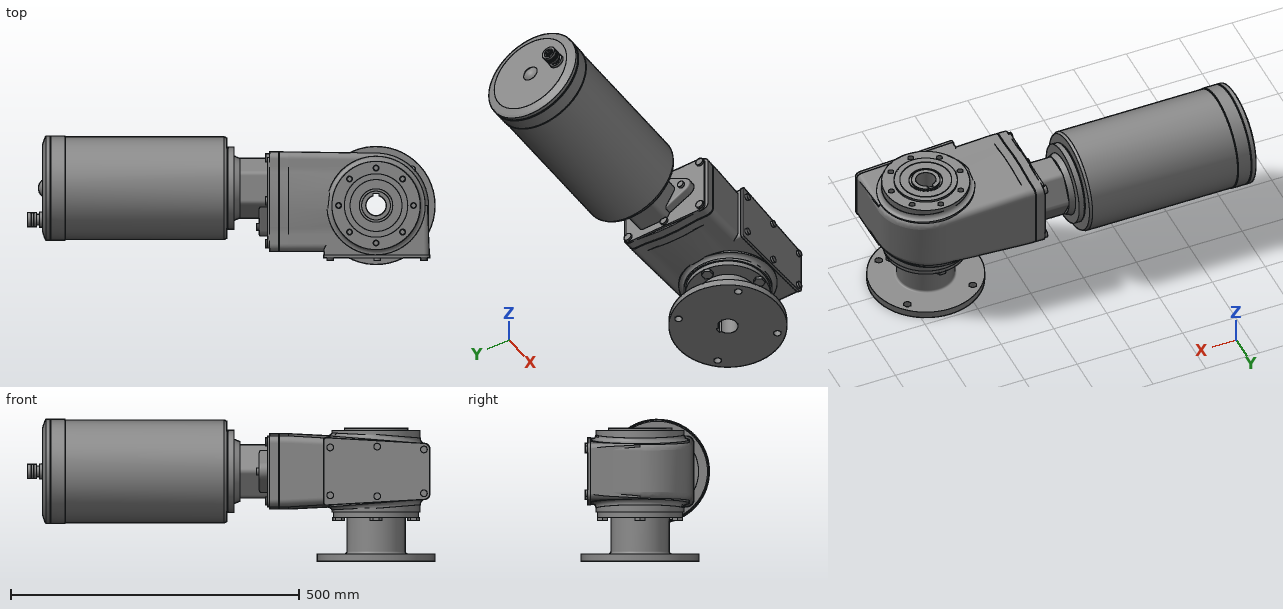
import math

import cadquery as cq

MOTOR_Y = 30.0

MOTOR_END_X = -578.5
CAP_RIM_X = -572.5
CAP_GROOVE_X = -565.0
CAP_GROOVE_WIDTH = 1.5
CAP_GROOVE_DEPTH = 1.5
CAP_BACK_X = -539.5
CAN_FRONT_X = -258.5
CAN_CHAMFER = 5.0
CAP_RADIUS = 90.5
CAN_RADIUS = 89.5
CAN_FRONT_RADIUS = 87.0
END_FACE_RADIUS = 75.0
CAP_SHOULDER_RADIUS = 86.5
CAP_LIP = 2.0
PILOT_RADIUS = 71.5
PILOT_STEP_RADIUS = 69.5
PILOT_STEP_LENGTH = 2.0
PILOT_FRONT_X = -246.0
COLLAR_FRONT_X = -235.5
COLLAR_BACK_RADIUS = 56.0
COLLAR_FRONT_RADIUS = 51.5
DOME_RADIUS = 14.0
DOME_HEIGHT = 7.0

CONNECTOR_Y = -24.5
CONNECTOR_TIP_X = -604.5
CONNECTOR_BODY_LENGTH = 16.0
CONNECTOR_DIAMETER = 25.5
CONNECTOR_RING_X = (-598.5, -594.0)
CONNECTOR_RING_WIDTH = 1.5
CONNECTOR_RING_DIAMETER = 23.0
CONNECTOR_BASE_DIAMETER = 26.5
CONNECTOR_BASE_LENGTH = 5.0
CONNECTOR_NECK_DIAMETER = 19.0
SOCKET_DIAMETER = 17.0
SOCKET_DEPTH = 8.0
PIN_COUNT = 5
PIN_DIAMETER = 3.0
PIN_CIRCLE_RADIUS = 5.0

NECK_APOTHEM = 46.5
NECK_EDGE_RADIUS = 9.0
LUG_BACK_X = -202.5
LUG_BOLT_Y = -37.0
LUG_NOSE_RADIUS = 16.0
LUG_ROOT_HALF_HEIGHT = 41.0
LUG_ROOT_Y = 6.0
LUG_EDGE_RADIUS = 3.0
LUG_BOLT_DIAMETER = 12.0
LUG_BOLT_HEAD = 4.5

HOUSING_BACK_X = -184.5
HOUSING_FAR_Y = 93.5
HOUSING_NEAR_Y = -80.0
HOUSING_HALF_HEIGHT = 61.5
TAPER_START_X = -152.0
TAPER_SLOPE = 0.057
HOUSING_NOSE_RADIUS = 91.0
HOUSING_EDGE_RADIUS = 12.5
CROWN_RISE = 4.5
CROWN_HALF_WIDTH = 46.5
CROWN_BLEND_WIDTH = 11.0
CROWN_Y = 8.5
CROWN_ROOT = 6.0
JOINT_X = -169.0
JOINT_WIDTH = 1.5
JOINT_DEPTH = 0.8

END_PLATE_THICKNESS = 3.5
END_PLATE_MARGIN = 6.0
END_BOLT_DIAMETER = 14.6
END_BOLT_HEAD = 7.0
END_BOLT_Y = (82.8, 8.4, -66.0)
END_BOLT_Z = 51.3

COVER_LEFT_X = -91.0
COVER_RIGHT_X = 93.5
COVER_SEAT_Y = -86.0
SEAT_ROOT_X = 89.0
COVER_THICKNESS = 5.0
COVER_OVERHANG = 0.8
COVER_LEFT_CORNER_RADIUS = 4.0
COVER_RIGHT_CORNER_RADIUS = 10.0
COVER_BOLT_DIAMETER = 11.6
COVER_BOLT_HEAD = 4.0
COVER_BOLT_X = (-79.5, 2.0, 83.0)
COVER_BOLT_Z = (41.5, 43.0, 38.0)

HUB_RADIUS = 76.5
HUB_TOP_Z = 71.3
HUB_BOTTOM_Z = -70.5
HUB_FLARE = 9.0
HUB_FLARE_Z = 55.0
HUB_FLARE_SLOPE = 0.08
HUB_FLARE_ROOT = 8.0
BOSS_DIAMETER = 110.0
BOSS_TOP_Z = 75.0
BOSS_RECESS_DIAMETER = 90.0
BOSS_RECESS_DEPTH = 1.0
SEAL_BORE_DIAMETER = 58.0
SHAFT_DIAMETER = 50.0
SEAL_GROOVE_DEPTH = 3.0
SHAFT_BORE_DIAMETER = 35.0
KEYWAY_WIDTH = 10.0
KEYWAY_REACH = 20.8
HUB_HOLE_COUNT = 8
HUB_HOLE_CIRCLE_RADIUS = 65.0
HUB_THREAD_DIAMETER = 10.0
HUB_THREAD_DEPTH = 18.0
HUB_DRILL_DIAMETER = 8.38
HUB_DRILL_DEPTH = 22.0

FLANGE_RADIUS = 102.5
FLANGE_THICKNESS = 13.0
FLANGE_BOTTOM_Z = -156.0
FLANGE_HOLE_COUNT = 4
FLANGE_HOLE_CIRCLE_RADIUS = 87.5
FLANGE_HOLE_DIAMETER = 13.0
TUBE_RADIUS = 50.75
TUBE_ROOT_RADIUS = 4.0
SPIGOT_RADIUS = 74.0
SPIGOT_BOTTOM_Z = -80.0
SPIGOT_BOLT_COUNT = 4
SPIGOT_BOLT_WIDTH = 18.0
SPIGOT_BOLT_HEAD = 5.5
HEX_CORNER_RATIO = 2 / math.sqrt(3)


def housing_half_height(x):
    """Half height of the tapered housing at station x."""
    return HOUSING_HALF_HEIGHT - TAPER_SLOPE * max(0.0, x - TAPER_START_X)


def rod_x(start_x, end_x, diameter, y, z):
    """Round rod along X."""
    section = cq.Workplane("YZ", origin=(start_x, y, z)).circle(diameter / 2)
    return section.extrude(end_x - start_x)


def make_motor():
    """Motor can, end cap, pilot and collar turned about the motor axis."""
    groove_end_x = CAP_GROOVE_X + CAP_GROOVE_WIDTH
    groove_radius = CAP_RADIUS - CAP_GROOVE_DEPTH
    profile = [
        (MOTOR_END_X, 0),
        (MOTOR_END_X, END_FACE_RADIUS),
        (CAP_RIM_X - CAP_LIP, CAP_SHOULDER_RADIUS),
        (CAP_RIM_X, CAP_RADIUS),
        (CAP_GROOVE_X, CAP_RADIUS),
        (CAP_GROOVE_X, groove_radius),
        (groove_end_x, groove_radius),
        (groove_end_x, CAP_RADIUS),
        (CAP_BACK_X, CAP_RADIUS),
        (CAP_BACK_X, groove_radius),
        (CAP_BACK_X + CAP_GROOVE_WIDTH, groove_radius),
        (CAP_BACK_X + CAP_GROOVE_WIDTH, CAN_RADIUS),
        (CAN_FRONT_X - CAN_CHAMFER, CAN_RADIUS),
        (CAN_FRONT_X, CAN_FRONT_RADIUS),
        (CAN_FRONT_X, PILOT_STEP_RADIUS),
        (CAN_FRONT_X + PILOT_STEP_LENGTH, PILOT_STEP_RADIUS),
        (CAN_FRONT_X + PILOT_STEP_LENGTH, PILOT_RADIUS),
        (PILOT_FRONT_X, PILOT_RADIUS),
        (PILOT_FRONT_X, COLLAR_BACK_RADIUS),
        (COLLAR_FRONT_X, COLLAR_FRONT_RADIUS),
        (COLLAR_FRONT_X, 0),
    ]
    body = cq.Workplane("XY").polyline(profile).close().revolve(360, (0, 0, 0), (1, 0, 0))
    sphere_radius = (DOME_RADIUS**2 + DOME_HEIGHT**2) / (2 * DOME_HEIGHT)
    sphere_x = MOTOR_END_X - DOME_HEIGHT + sphere_radius
    dome = cq.Workplane("XY").sphere(sphere_radius).translate((sphere_x, 0, 0))
    return body.union(dome).translate((0, MOTOR_Y, 0))


def make_connector():
    """Round plug with ring grooves and a pinned socket, on a neck and a base collar."""
    body_end_x = CONNECTOR_TIP_X + CONNECTOR_BODY_LENGTH
    tip_plane = cq.Workplane("YZ", origin=(CONNECTOR_TIP_X, CONNECTOR_Y, 0))
    plug = rod_x(CONNECTOR_TIP_X, body_end_x, CONNECTOR_DIAMETER, CONNECTOR_Y, 0)
    for ring_x in CONNECTOR_RING_X:
        ring_end_x = ring_x + CONNECTOR_RING_WIDTH
        ring = rod_x(ring_x, ring_end_x, CONNECTOR_DIAMETER, CONNECTOR_Y, 0)
        plug = plug.cut(ring.cut(rod_x(ring_x, ring_end_x, CONNECTOR_RING_DIAMETER, CONNECTOR_Y, 0)))
    socket_end_x = CONNECTOR_TIP_X + SOCKET_DEPTH
    plug = plug.cut(rod_x(CONNECTOR_TIP_X, socket_end_x, SOCKET_DIAMETER, CONNECTOR_Y, 0))
    pins = tip_plane.polarArray(PIN_CIRCLE_RADIUS, 90, 360, PIN_COUNT).circle(PIN_DIAMETER / 2)
    plug = plug.union(pins.extrude(CONNECTOR_BODY_LENGTH))
    neck = rod_x(body_end_x, CAP_RIM_X, CONNECTOR_NECK_DIAMETER, CONNECTOR_Y, 0)
    base_x = MOTOR_END_X - CONNECTOR_BASE_LENGTH
    base = rod_x(base_x, CAP_RIM_X, CONNECTOR_BASE_DIAMETER, CONNECTOR_Y, 0)
    return plug.union(neck).union(base)


def make_neck():
    """Hexagonal neck with rounded edges between motor and housing."""
    length = HOUSING_BACK_X - COLLAR_FRONT_X
    section = cq.Workplane("YZ", origin=(COLLAR_FRONT_X, MOTOR_Y, 0))
    neck = section.polygon(6, 2 * NECK_APOTHEM * HEX_CORNER_RATIO).extrude(length)
    return neck.edges("|X").fillet(NECK_EDGE_RADIUS)


def make_lug():
    """Pointed lug beside the neck with a bolt in its round nose."""
    length = HOUSING_BACK_X - LUG_BACK_X
    root = cq.Vector(LUG_ROOT_Y - LUG_BOLT_Y, LUG_ROOT_HALF_HEIGHT)
    tangent_angle = math.atan2(root.y, root.x) + math.acos(LUG_NOSE_RADIUS / root.Length)
    tangent_y = LUG_BOLT_Y + LUG_NOSE_RADIUS * math.cos(tangent_angle)
    tangent_z = LUG_NOSE_RADIUS * math.sin(tangent_angle)
    lug = (
        cq.Workplane("YZ", origin=(LUG_BACK_X, 0, 0))
        .moveTo(MOTOR_Y, LUG_ROOT_HALF_HEIGHT)
        .lineTo(LUG_ROOT_Y, LUG_ROOT_HALF_HEIGHT)
        .lineTo(tangent_y, tangent_z)
        .threePointArc((LUG_BOLT_Y - LUG_NOSE_RADIUS, 0), (tangent_y, -tangent_z))
        .lineTo(LUG_ROOT_Y, -LUG_ROOT_HALF_HEIGHT)
        .lineTo(MOTOR_Y, -LUG_ROOT_HALF_HEIGHT)
        .close()
        .extrude(length)
    )
    lug = lug.faces("<X").edges("not |Z").fillet(LUG_EDGE_RADIUS)
    bolt = rod_x(LUG_BACK_X - LUG_BOLT_HEAD, HOUSING_BACK_X, LUG_BOLT_DIAMETER, LUG_BOLT_Y, 0)
    return lug.union(bolt)


def tapered_slab(left_x, right_x, near_y, far_y, overhang=0.0):
    """Slab across Y whose top and bottom follow the housing taper, raised by the overhang."""
    upper = [(left_x, housing_half_height(left_x))]
    if left_x < TAPER_START_X:
        upper.append((TAPER_START_X, HOUSING_HALF_HEIGHT))
    upper.append((right_x, housing_half_height(right_x)))
    upper = [(x, z + overhang) for x, z in upper]
    lower = [(x, -z) for x, z in reversed(upper)]
    section = cq.Workplane("XZ", origin=(0, far_y, 0)).polyline(upper + lower).close()
    return section.extrude(far_y - near_y)


def make_casing():
    """Main casing: tapered block with a round nose and rounded long edges."""
    nose = HOUSING_NOSE_RADIUS
    diagonal = nose * math.sqrt(0.5)
    plan = (
        cq.Workplane("XY", origin=(0, 0, -HOUSING_HALF_HEIGHT))
        .moveTo(HOUSING_BACK_X, HOUSING_NEAR_Y)
        .lineTo(HOUSING_BACK_X, HOUSING_FAR_Y)
        .lineTo(0, nose)
        .threePointArc((diagonal, diagonal), (nose, 0))
        .lineTo(nose, HOUSING_NEAR_Y)
        .close()
        .extrude(2 * HOUSING_HALF_HEIGHT)
    )
    slab = tapered_slab(HOUSING_BACK_X, COVER_RIGHT_X, HOUSING_NEAR_Y, HOUSING_FAR_Y)
    casing = slab.intersect(plan)
    side_edges = casing.faces(">Y or <Y").edges("not |Z")
    return casing.newObject(side_edges.vals()).fillet(HOUSING_EDGE_RADIUS)


def make_crown():
    """Low arched pad along the top of the casing, blended into it at both sides."""
    half_span = CROWN_HALF_WIDTH + CROWN_BLEND_WIDTH
    angle = 2 * math.atan(CROWN_RISE / half_span)
    blend_radius = CROWN_BLEND_WIDTH / math.sin(angle)
    blend_rise = blend_radius * (1 - math.cos(angle))
    middle_y = half_span - blend_radius * math.sin(angle / 2)
    middle_z = blend_radius * (1 - math.cos(angle / 2))

    def pad(start_x, length):
        return (
            cq.Workplane("YZ", origin=(start_x, CROWN_Y, HOUSING_HALF_HEIGHT))
            .moveTo(-half_span, -CROWN_ROOT)
            .lineTo(-half_span, 0)
            .threePointArc((-middle_y, middle_z), (-CROWN_HALF_WIDTH, blend_rise))
            .threePointArc((0, CROWN_RISE), (CROWN_HALF_WIDTH, blend_rise))
            .threePointArc((middle_y, middle_z), (half_span, 0))
            .lineTo(half_span, -CROWN_ROOT)
            .close()
            .extrude(length)
        )

    level = pad(HOUSING_BACK_X, TAPER_START_X - HOUSING_BACK_X)
    pivot = (TAPER_START_X, 0, HOUSING_HALF_HEIGHT)
    pivot_end = (TAPER_START_X, 1, HOUSING_HALF_HEIGHT)
    tilt = math.degrees(math.atan(TAPER_SLOPE))
    sloped = pad(TAPER_START_X, -TAPER_START_X).rotate(pivot, pivot_end, tilt)
    return level.union(sloped)


def make_end_plate():
    """Plate and bolt heads on the motor side of the casing."""
    plate_x = HOUSING_BACK_X - END_PLATE_THICKNESS
    width = HOUSING_FAR_Y - HOUSING_NEAR_Y - 2 * END_PLATE_MARGIN
    middle_y = (HOUSING_FAR_Y + HOUSING_NEAR_Y) / 2
    plate = cq.Workplane("YZ", origin=(plate_x, middle_y, 0)).rect(width, 2 * HOUSING_HALF_HEIGHT)
    plate = plate.extrude(END_PLATE_THICKNESS).edges("|X").fillet(HOUSING_EDGE_RADIUS)
    for y in END_BOLT_Y:
        for z in (END_BOLT_Z, -END_BOLT_Z):
            bolt_x = HOUSING_BACK_X - END_BOLT_HEAD
            plate = plate.union(rod_x(bolt_x, HOUSING_BACK_X, END_BOLT_DIAMETER, y, z))
    return plate


def cut_joint(casing):
    """Shallow joint line around the casing."""
    corner_radius = HOUSING_EDGE_RADIUS - JOINT_DEPTH
    width = HOUSING_FAR_Y - HOUSING_NEAR_Y
    middle_y = (HOUSING_FAR_Y + HOUSING_NEAR_Y) / 2
    outer = cq.Workplane("YZ", origin=(JOINT_X, middle_y, 0))
    ring = outer.rect(2 * width, 4 * HOUSING_HALF_HEIGHT).extrude(JOINT_WIDTH)
    core = outer.rect(width - 2 * JOINT_DEPTH, 2 * (HOUSING_HALF_HEIGHT - JOINT_DEPTH))
    core = core.extrude(JOINT_WIDTH).edges("|X").fillet(corner_radius)
    sunk_crown = make_crown().translate((0, 0, -JOINT_DEPTH))
    ring = ring.cut(core).cut(sunk_crown).cut(sunk_crown.mirror("XY"))
    return casing.cut(ring)


def round_cover_corners(slab):
    """Round the four upright corners of a cover-shaped slab."""
    slab = slab.edges("|Y").edges("<X").fillet(COVER_LEFT_CORNER_RADIUS)
    return slab.edges("|Y").edges(">X").fillet(COVER_RIGHT_CORNER_RADIUS)


def make_side_cover():
    """Seat block, cover plate and bolt heads on the -Y side of the housing."""
    seat_left_x = COVER_LEFT_X + COVER_OVERHANG
    seat_right_x = COVER_RIGHT_X - COVER_OVERHANG
    seat = round_cover_corners(tapered_slab(seat_left_x, seat_right_x, COVER_SEAT_Y, 0))
    plan = [
        (seat_left_x, COVER_SEAT_Y),
        (seat_right_x, COVER_SEAT_Y),
        (SEAT_ROOT_X, 0),
        (seat_left_x, 0),
    ]
    wall = cq.Workplane("XY", origin=(0, 0, -HOUSING_HALF_HEIGHT)).polyline(plan).close()
    seat = seat.intersect(wall.extrude(2 * HOUSING_HALF_HEIGHT))
    cover_y = COVER_SEAT_Y - COVER_THICKNESS
    cover = tapered_slab(COVER_LEFT_X, COVER_RIGHT_X, cover_y, COVER_SEAT_Y, COVER_OVERHANG)
    seat = seat.union(round_cover_corners(cover))
    for x, z in zip(COVER_BOLT_X, COVER_BOLT_Z):
        heads = cq.Workplane("XZ", origin=(x, cover_y, 0)).pushPoints([(0, z), (0, -z)])
        seat = seat.union(heads.circle(COVER_BOLT_DIAMETER / 2).extrude(COVER_BOLT_HEAD))
    return seat


def make_hub():
    """Output hub turned about Z, with the flange below it."""
    tube_top_z = FLANGE_BOTTOM_Z + FLANGE_THICKNESS
    root_bulge = TUBE_ROOT_RADIUS * (1 - math.sqrt(0.5))
    return (
        cq.Workplane("XZ")
        .moveTo(0, BOSS_TOP_Z)
        .lineTo(BOSS_DIAMETER / 2, BOSS_TOP_Z)
        .lineTo(BOSS_DIAMETER / 2, HUB_TOP_Z)
        .lineTo(HUB_RADIUS, HUB_TOP_Z)
        .lineTo(HUB_RADIUS, HUB_BOTTOM_Z)
        .lineTo(SPIGOT_RADIUS, HUB_BOTTOM_Z)
        .lineTo(SPIGOT_RADIUS, SPIGOT_BOTTOM_Z)
        .lineTo(TUBE_RADIUS, SPIGOT_BOTTOM_Z)
        .lineTo(TUBE_RADIUS, tube_top_z + TUBE_ROOT_RADIUS)
        .threePointArc((TUBE_RADIUS + root_bulge, tube_top_z + root_bulge),
                       (TUBE_RADIUS + TUBE_ROOT_RADIUS, tube_top_z))
        .lineTo(FLANGE_RADIUS, tube_top_z)
        .lineTo(FLANGE_RADIUS, FLANGE_BOTTOM_Z)
        .lineTo(0, FLANGE_BOTTOM_Z)
        .close()
        .revolve(360, (0, 0, 0), (0, 1, 0))
    )


def make_hub_flare():
    """Concave skirt where the hub leaves the sloping top of the casing."""
    bulge = HUB_FLARE * (1 - math.sqrt(0.5))
    skirt = (
        cq.Workplane("XZ")
        .moveTo(0, -HUB_FLARE_ROOT)
        .lineTo(0, HUB_FLARE)
        .lineTo(HUB_RADIUS, HUB_FLARE)
        .threePointArc((HUB_RADIUS + bulge, bulge), (HUB_RADIUS + HUB_FLARE, 0))
        .lineTo(HUB_RADIUS + HUB_FLARE, -HUB_FLARE_ROOT)
        .close()
        .revolve(360, (0, 0, 0), (0, 1, 0))
    )
    tilt = math.degrees(math.atan(HUB_FLARE_SLOPE))
    return skirt.rotate((0, 0, 0), (0, 1, 0), tilt).translate((0, 0, HUB_FLARE_Z))


def make_spigot_bolts():
    """Hexagon heads under the hub."""
    heads = cq.Workplane("XY", origin=(0, 0, SPIGOT_BOTTOM_Z - SPIGOT_BOLT_HEAD))
    heads = heads.polarArray(HUB_HOLE_CIRCLE_RADIUS, 0, 360, SPIGOT_BOLT_COUNT, rotate=False)
    heads = heads.polygon(6, SPIGOT_BOLT_WIDTH * HEX_CORNER_RATIO)
    return heads.extrude(SPIGOT_BOLT_HEAD)


def cut_hub(body):
    """Seal recesses, keyed through bore, tapped holes and flange holes."""
    top = cq.Workplane("XY", origin=(0, 0, BOSS_TOP_Z))
    recess = top.circle(BOSS_RECESS_DIAMETER / 2).circle(SEAL_BORE_DIAMETER / 2).extrude(-BOSS_RECESS_DEPTH)
    groove = top.circle(SEAL_BORE_DIAMETER / 2).circle(SHAFT_DIAMETER / 2).extrude(-SEAL_GROOVE_DEPTH)
    depth = BOSS_TOP_Z - FLANGE_BOTTOM_Z
    bore = top.circle(SHAFT_BORE_DIAMETER / 2).extrude(-depth)
    keyway = top.center(0, KEYWAY_REACH / 2).rect(KEYWAY_WIDTH, KEYWAY_REACH).extrude(-depth)
    body = body.cut(recess).cut(groove).cut(bore).cut(keyway)

    hole_top = cq.Workplane("XY", origin=(HUB_HOLE_CIRCLE_RADIUS, 0, HUB_TOP_Z))
    thread = hole_top.circle(HUB_THREAD_DIAMETER / 2).extrude(-HUB_THREAD_DEPTH)
    hole = thread.union(hole_top.circle(HUB_DRILL_DIAMETER / 2).extrude(-HUB_DRILL_DEPTH))
    for index in range(HUB_HOLE_COUNT):
        body = body.cut(hole.rotate((0, 0, 0), (0, 0, 1), 360 * index / HUB_HOLE_COUNT))

    holes = cq.Workplane("XY", origin=(0, 0, FLANGE_BOTTOM_Z))
    holes = holes.polarArray(FLANGE_HOLE_CIRCLE_RADIUS, 45, 360, FLANGE_HOLE_COUNT)
    return body.cut(holes.circle(FLANGE_HOLE_DIAMETER / 2).extrude(FLANGE_THICKNESS))


crown = make_crown()
casing = make_casing().union(crown).union(crown.mirror("XY"))
body = cut_joint(casing).union(make_end_plate()).union(make_side_cover())
flare = make_hub_flare()
body = body.union(flare).union(flare.mirror("XY"))
body = body.union(make_hub()).union(make_spigot_bolts())
body = cut_hub(body)
result = body.union(make_neck()).union(make_lug()).union(make_motor()).union(make_connector())